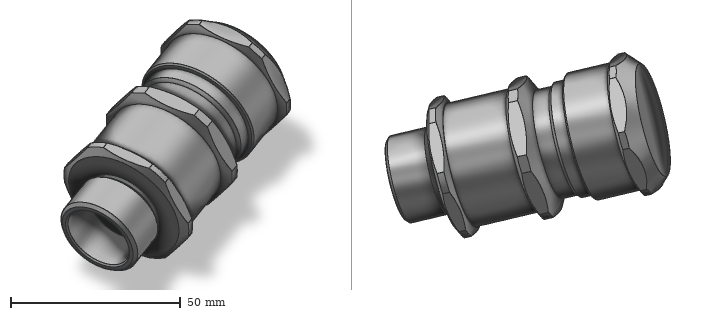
import cadquery as cq
import math


gland_length = 79.0
thread_length = 15.0
entry_hex_end = 20.0
body_end = 39.4
middle_hex_end = 47.0
collar_start = 53.0
cap_start = 57.0
cap_hex_start = 71.0

thread_diameter = 26.44
neck_diameter = 24.04
body_diameter = 37.4
waist_diameter = 33.0
collar_diameter = 35.0
cap_diameter = 38.6

tip_chamfer = 1.0
relief_chamfer = (thread_diameter - neck_diameter) / 2
relief_width = 1.3
cap_chamfer = 0.5

across_flats = 40.0
corner_flat_distance = 43.19 / 2
entry_corner_diameter = 43.0
hex_cone_angle = 30.0
cap_cone_angle = 45.0
entry_rim_diameter = 38.0
cap_end_diameter = 34.25

bore_diameter = 21.0
bore_chamfer = 0.5
bore_depth = 12.5


def revolve_profile(points):
    """Revolve a closed (radius, axial position) outline about the Y axis."""
    return cq.Workplane("XY").polyline(points).close().revolve(360, (0, 0, 0), (0, 1, 0))


def along_axis(start):
    """Workplane square to the axis at the given station, extruding toward +Y."""
    return cq.Workplane("XZ", origin=(0, start, 0)).transformed(rotate=(180, 0, 0))


def cylinder(start, end, diameter):
    return along_axis(start).circle(diameter / 2).extrude(end - start)


def hexagon(start, end):
    """Hexagonal prism with two flats facing up and down."""
    corner_diameter = across_flats / math.cos(math.radians(30))
    return along_axis(start).polygon(6, corner_diameter).extrude(end - start)


def corner_trim(start, end):
    """Hexagonal prism turned by 30 degrees, whose flats cut the nut corners."""
    trim_diameter = 2 * corner_flat_distance / math.cos(math.radians(30))
    plane = along_axis(start).transformed(rotate=(0, 0, 30))
    return plane.polygon(6, trim_diameter).extrude(end - start)


def cone_trim(start, end, front_diameter, back_diameter, back_angle):
    """Double cone that chamfers both ends of a hexagon."""
    outer_radius = across_flats / math.sqrt(3)
    front_rise = (outer_radius - front_diameter / 2) * math.tan(math.radians(hex_cone_angle))
    back_rise = (outer_radius - back_diameter / 2) * math.tan(math.radians(back_angle))
    return revolve_profile([
        (0, start),
        (front_diameter / 2, start),
        (outer_radius, start + front_rise),
        (outer_radius, end - back_rise),
        (back_diameter / 2, end),
        (0, end),
    ])


def entry_hex():
    start, end = thread_length, entry_hex_end
    nut = hexagon(start, end).intersect(cylinder(start, end, entry_corner_diameter))
    return nut.intersect(
        cone_trim(start, end, entry_rim_diameter, entry_rim_diameter, hex_cone_angle)
    )


def middle_hex():
    start, end = body_end, middle_hex_end
    nut = hexagon(start, end).intersect(corner_trim(start, end))
    return nut.intersect(
        cone_trim(start, end, body_diameter, waist_diameter, hex_cone_angle)
    )


def cap_hex():
    start, end = cap_hex_start, gland_length
    nut = hexagon(start, end).intersect(corner_trim(start, end))
    return nut.intersect(
        cone_trim(start, end, cap_diameter, cap_end_diameter, cap_cone_angle)
    )


def turned_core():
    """All round sections from the threaded tip to the cap hexagon."""
    thread_radius = thread_diameter / 2
    neck_radius = neck_diameter / 2
    body_radius = body_diameter / 2
    waist_radius = waist_diameter / 2
    collar_radius = collar_diameter / 2
    cap_radius = cap_diameter / 2
    relief_start = thread_length - relief_width
    collar_chamfer = collar_radius - waist_radius
    return revolve_profile([
        (0, 0),
        (thread_radius - tip_chamfer, 0),
        (thread_radius, tip_chamfer),
        (thread_radius, relief_start - relief_chamfer),
        (neck_radius, relief_start),
        (neck_radius, entry_hex_end),
        (body_radius, entry_hex_end),
        (body_radius, body_end),
        (waist_radius, body_end),
        (waist_radius, collar_start - collar_chamfer),
        (collar_radius, collar_start),
        (collar_radius, cap_start),
        (cap_radius - cap_chamfer, cap_start),
        (cap_radius, cap_start + cap_chamfer),
        (cap_radius, cap_hex_start),
        (0, cap_hex_start),
    ])


def bore():
    """Blind bore with a chamfered mouth."""
    bore_radius = bore_diameter / 2
    return revolve_profile([
        (0, 0),
        (bore_radius + bore_chamfer, 0),
        (bore_radius, bore_chamfer),
        (bore_radius, bore_depth),
        (0, bore_depth),
    ])


result = turned_core().union(entry_hex()).union(middle_hex()).union(cap_hex()).cut(bore())